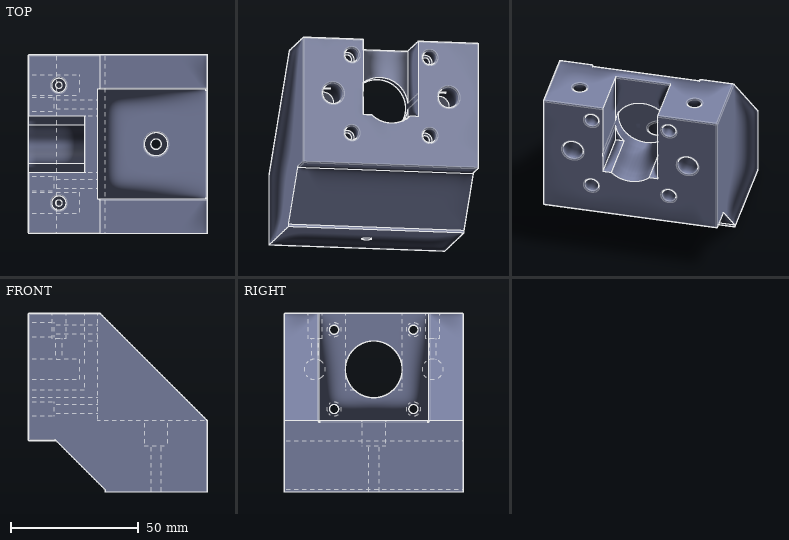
import cadquery as cq
import math

SIZE = 70.0
UPPER_FLAT = 28.0
LEDGE_HEIGHT = 20.0
FOOT_START = 30.0
FOOT_STEP = 1.0
EDGE_RADIUS = 0.5
MID_Y = SIZE / 2

BORE_AXIS_Z = 48.0
BORE_DIAMETER = 22.1
SLOT_WIDTH = 22.0
SLOT_DEPTH = 22.0
SLOT_FLOOR_Z = 40.0

BAY_START = 27.0
BAY_WIDTH = 43.0
BAY_FLOOR_Z = UPPER_FLAT

SCREW_SPACING = 31.0
SCREW_DIAMETER = 3.5
SCREW_HEAD_DIAMETER = 5.5
SCREW_HEAD_DEPTH = 10.0

PIN_OFFSET_Y = 23.0
PIN_DIAMETER = 8.1
PIN_DEPTH = 20.0
CLAMP_X = 12.0
CLAMP_DIAMETER = 2.5
CLAMP_HEAD_DIAMETER = 5.5
CLAMP_HEAD_DEPTH = 10.0

BASE_HOLE_X = 50.0
BASE_HOLE_DIAMETER = 4.0
BASE_HEAD_DIAMETER = 9.0
BASE_HEAD_DEPTH = 10.0

INTO_WALL = cq.Vector(1, 0, 0)
DOWN = cq.Vector(0, 0, -1)


def drill(body, mouth, direction, diameter, depth):
    """Cut a plain round hole."""
    return body.cut(cq.Workplane(cq.Solid.makeCylinder(diameter / 2, depth, mouth, direction)))


def round_nearest_edge(body, point):
    """Round the edge whose centre lies at the given point."""
    return body.edges(cq.selectors.NearestToPointSelector(point.toTuple())).fillet(EDGE_RADIUS)


def block(x_range, width, z_range):
    """Box centred on the mid plane in Y."""
    length = x_range[1] - x_range[0]
    height = z_range[1] - z_range[0]
    box = cq.Workplane("XY").box(length, width, height, centered=(False, True, False))
    return box.translate((x_range[0], MID_Y, z_range[0]))


def make_body():
    """Extrude the profile and round the mounting wall, the top ends and the ledge ends."""
    slope_drop = LEDGE_HEIGHT - FOOT_STEP
    outline = [
        (0, LEDGE_HEIGHT),
        (FOOT_START - slope_drop, LEDGE_HEIGHT),
        (FOOT_START, FOOT_STEP),
        (FOOT_START, 0),
        (SIZE, 0),
        (SIZE, UPPER_FLAT),
        (UPPER_FLAT, SIZE),
        (0, SIZE),
    ]
    body = cq.Workplane("XZ").polyline(outline).close().extrude(-SIZE)
    wall_edges = body.faces("<X").edges().vals()
    ends = body.faces("<Y or >Y")
    flat_edges = [edge for edge in ends.edges("|X").vals() if edge.Center().z > FOOT_STEP]
    return body.newObject(wall_edges + flat_edges).fillet(EDGE_RADIUS)


def edge_cutter(middle, first_outward, second_outward, length):
    """Bar along a square edge whose concave side leaves the edge rounded."""
    r = EDGE_RADIUS
    arc_middle = r * math.sqrt(0.5) - r
    along = cq.Vector(*first_outward).cross(cq.Vector(*second_outward))
    profile = (
        cq.Workplane(cq.Plane(origin=middle, xDir=first_outward, normal=along.toTuple()))
        .moveTo(-r, 0)
        .threePointArc((arc_middle, arc_middle), (0, -r))
        .lineTo(r, -r)
        .lineTo(r, r)
        .lineTo(-r, r)
        .close()
    )
    return profile.extrude(length / 2, both=True)


def cut_bay(body):
    """Open the bay, then round the cheek slopes and the outer edge of the floor."""
    body = body.cut(block((BAY_START, SIZE), BAY_WIDTH, (BAY_FLOOR_Z, SIZE)))
    slope_middle = (UPPER_FLAT + SIZE) / 2
    slope_length = math.sqrt(2) * (SIZE - UPPER_FLAT)
    for side in (-1, 1):
        middle = (slope_middle, MID_Y + side * BAY_WIDTH / 2, slope_middle)
        body = body.cut(edge_cutter(middle, (0, -side, 0), (1, 0, 1), slope_length + 2 * EDGE_RADIUS))
    floor_end = (SIZE, MID_Y, BAY_FLOOR_Z)
    return body.cut(edge_cutter(floor_end, (1, 0, 0), (0, 0, 1), BAY_WIDTH))


def cut_slot(body):
    """Cut the slot down to its floor and round the top edge of its back wall."""
    body = body.cut(block((0, SLOT_DEPTH), SLOT_WIDTH, (SLOT_FLOOR_Z, SIZE)))
    return round_nearest_edge(body, cq.Vector(SLOT_DEPTH, MID_Y, SIZE))


def cut_screw_holes(body):
    """Counterbored holes at the corners of a square around the bore."""
    for side in (-1, 1):
        for level in (-1, 1):
            y = MID_Y + side * SCREW_SPACING / 2
            z = BORE_AXIS_Z + level * SCREW_SPACING / 2
            mouth = cq.Vector(0, y, z)
            body = drill(body, mouth, INTO_WALL, SCREW_DIAMETER, BAY_START)
            body = drill(body, mouth, INTO_WALL, SCREW_HEAD_DIAMETER, SCREW_HEAD_DEPTH)
            body = round_nearest_edge(body, mouth)
    return body


def cut_pin_holes(body):
    """Blind pin holes, with a clamping screw hole reaching each one from the top."""
    for side in (-1, 1):
        pin_y = MID_Y + side * PIN_OFFSET_Y
        pin_mouth = cq.Vector(0, pin_y, BORE_AXIS_Z)
        clamp_mouth = cq.Vector(CLAMP_X, pin_y, SIZE)
        body = drill(body, pin_mouth, INTO_WALL, PIN_DIAMETER, PIN_DEPTH)
        body = drill(body, clamp_mouth, DOWN, CLAMP_DIAMETER, SIZE - BORE_AXIS_Z)
        body = drill(body, clamp_mouth, DOWN, CLAMP_HEAD_DIAMETER, CLAMP_HEAD_DEPTH)
        body = round_nearest_edge(body, pin_mouth)
        body = round_nearest_edge(body, clamp_mouth)
    return body


def cut_base_hole(body):
    """Counterbored hole through the bay floor."""
    mouth = cq.Vector(BASE_HOLE_X, MID_Y, BAY_FLOOR_Z)
    body = drill(body, mouth, DOWN, BASE_HOLE_DIAMETER, BAY_FLOOR_Z)
    body = drill(body, mouth, DOWN, BASE_HEAD_DIAMETER, BASE_HEAD_DEPTH)
    return round_nearest_edge(body, mouth)


body = cut_bay(make_body())
body = cut_slot(body)
body = drill(body, cq.Vector(0, MID_Y, BORE_AXIS_Z), INTO_WALL, BORE_DIAMETER, BAY_START)
body = cut_screw_holes(body)
body = cut_pin_holes(body)
result = cut_base_hole(body)